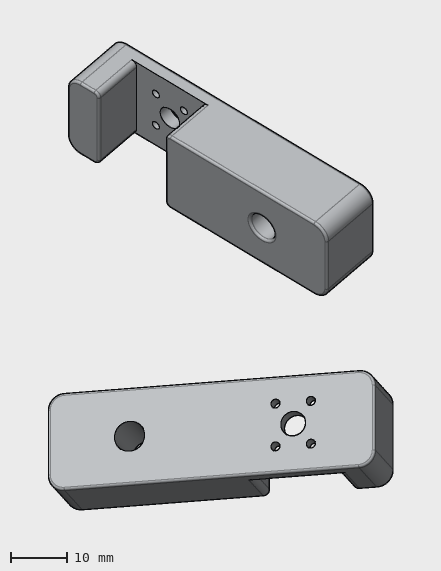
import cadquery as cq

length = 60.0
depth = 13.0
height = 18.0

corner_radius = 3.0
edge_radius = 0.5

slot_width = 15.35
slot_center_x = -length / 4
slot_corner_radius = 1.15
floor_thickness = 2.65

shaft_diameter = 4.5
screw_diameter = 1.6
screw_spacing_x = 6.5
screw_spacing_z = 7.9

bore_diameter = 5.5
bore_center_x = length / 4

front_y = -depth / 2
back_y = depth / 2
left_x = -length / 2
right_x = length / 2
slot_left_x = slot_center_x - slot_width / 2
slot_right_x = slot_center_x + slot_width / 2


def slab(x_start, x_end, thickness, left_radius, right_radius):
    """Upright slab reaching forward from the back face, with rounded ends."""
    return (
        cq.Workplane("XY")
        .box(x_end - x_start, thickness, height)
        .translate(((x_start + x_end) / 2, back_y - thickness / 2, 0))
        .edges("|Y and <X")
        .fillet(left_radius)
        .edges("|Y and >X")
        .fillet(right_radius)
    )


def through_holes(points, diameter):
    """Round cutters along Y at the given (x, z) points."""
    return (
        cq.Workplane("XZ", origin=(0, back_y, 0))
        .pushPoints(points)
        .circle(diameter / 2)
        .extrude(depth)
    )


plate = slab(left_x, right_x, floor_thickness, corner_radius, corner_radius)
plate = plate.faces(">Y").edges().fillet(edge_radius)


def block(x_start, x_end, left_radius, right_radius):
    """Block standing forward of the plate, with a rounded front rim."""
    standing = slab(x_start, x_end, depth, left_radius, right_radius)
    standing = standing.faces("<Y").edges().fillet(edge_radius)
    front_space = cq.Workplane("XY").box(length, depth, height).translate((0, -floor_thickness, 0))
    return standing.intersect(front_space)


short_block = block(left_x, slot_left_x, corner_radius, slot_corner_radius)
long_block = block(slot_right_x, right_x, slot_corner_radius, corner_radius)
body = plate.union(short_block).union(long_block).clean()

screw_points = [
    (slot_center_x + side * screw_spacing_x / 2, level * screw_spacing_z / 2)
    for side in (-1, 1)
    for level in (-1, 1)
]
body = body.cut(through_holes(screw_points, screw_diameter))
body = body.cut(through_holes([(slot_center_x, 0)], shaft_diameter))

body = body.cut(through_holes([(bore_center_x, 0)], bore_diameter))
body = body.faces("<Y").edges("%CIRCLE").edges(
    cq.selectors.NearestToPointSelector((bore_center_x, front_y, 0))
).fillet(edge_radius)

result = body